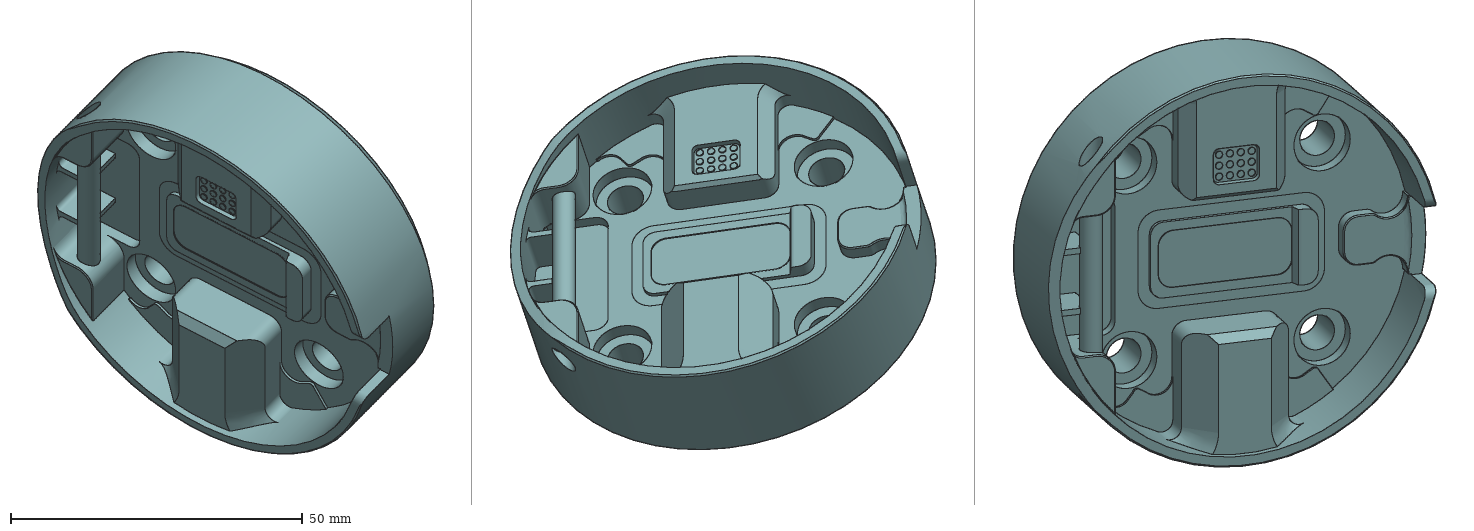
import cadquery as cq
import math

BODY_RADIUS = 35.5
BODY_DEPTH = 22.1
BACK_CHAMFER = 2.0
RIM_CHAMFER = 0.3
BORE_RADIUS = 33.6
FLOOR_Y = 11.1
LEDGE_Y = 10.6

RELIEF_BEND_X = -27.0
RELIEF_ANGLE = math.radians(16)
RELIEF_TANGENT = 2.3

NOTCH_HALF_WIDTH = 7.2
NOTCH_DEPTH = 7.95
NOTCH_ROUND = 2.0

SCREW_OFFSET = 17.7
SCREW_HOLE_DIAMETER = 6.3
COUNTERBORE_DIAMETER = 10.3
COUNTERBORE_DEPTH = 2.5

BLOCK_HALF_WIDTH = 9.8
BLOCK_INNER_Z = 11.7
BLOCK_CORNER_RADIUS = 2.55
BLOCK_FLARE_RADIUS = 2.0
UPPER_BLOCK_Y = 5.5
UPPER_SIDE_BEVEL = 2.5
UPPER_END_BEVEL = 0.7
LOWER_BLOCK_Y = 1.3
LOWER_SIDE_BEVEL = 5.0
LOWER_END_BEVEL = 1.5

LOBE_RADIUS = 2.9
LOBE_Z = 21.6
LOBE_END_ANGLE = math.radians(50)
VALLEY_START = (15.8, 23.1)
VALLEY_MIDDLE = (16.5, 23.0)
VALLEY_END = (17.0, 23.5)
LEDGE_RIGHT_END = (20.2, 28.3)
OUTER_LOBE_CENTER = (-20.1, 23.15)
OUTER_LOBE_RADIUS = 2.7
LEDGE_LEFT_END = (-23.4, 26.3)

EAR_Y = 1.7
EAR_EDGE_X = -23.4
EAR_INNER_Z = 12.65
EAR_CORNER_RADIUS = 3.5
EAR_WALL_FILLET = 2.5
EAR_CHAMFER = 0.2
WELL_EDGE_X = -20.15
WELL_CORNER_RADIUS = 2.5
WELL_Y = 13.05
RIB_Y = 5.0
RIB_INNER_Z = 5.0
RIB_THICKNESS = 1.1
RIB_WALL_FILLET = 1.0
PIN_X = -26.7
PIN_Y = 5.25
PIN_DIAMETER = 4.0
PIN_HOLE_DIAMETER = 4.05
PIN_LENGTH = 40.0

TAB_Y = 8.5
TAB_CHAMFER = 0.2
TAB_START_X = 20.65
TAB_HALF_WIDTH = 4.55
TAB_CORNER_RADIUS = 2.7
TAB_SHOULDER_X = 25.8
TAB_SHOULDER_RADIUS = 1.5
TAB_NECK_HALF_WIDTH = 3.5
TAB_NECK_RADIUS = 3.55
TAB_END_X = 34.1
TAB_ROOT_RADIUS = 32.95
TAB_ROOT_FILLET = 1.3

LATCH_X_MIN = -16.0
LATCH_X_MAX = 18.1
LATCH_HALF_HEIGHT = 8.95
LATCH_CORNER_RADIUS = 3.75
LATCH_BACK_Y = 13.05
PLATE_MARGIN = 2.05
PLATE_CORNER_RADIUS = 2.3
PLATE_Y = 10.4
PANEL_X_MIN = -12.5
PANEL_HALF_HEIGHT = 5.2
PANEL_CORNER_RADIUS = 2.7
PANEL_DEPTH = 0.2
BAR_BASE_X = 11.9
BAR_SHOULDER_X = 12.5
BAR_TOP_X = 13.0
BAR_TOP_Y = 8.5
BAR_SHOULDER_DROP = 0.15

SOCKET_Z = 17.55
SOCKET_WIDTH = 8.45
SOCKET_HEIGHT = 6.5
SOCKET_CORNER_RADIUS = 1.15
CONNECTOR_GAP = 0.2
CONNECTOR_INSET = 0.7
CONTACT_DIAMETER = 1.3
CONTACT_HEIGHT = 0.2
CONTACT_PITCH = 2.0
CONTACT_COLUMNS = 4
CONTACT_ROWS = 3


def plane_at(y):
    """XZ drawing plane at depth y; extruding moves toward the open rim."""
    return cq.Workplane("XZ", origin=(0, y, 0))


def rounded_box(x_min, x_max, z_min, z_max, radius, y_front, y_back):
    """Box between two depths with its four Y edges rounded."""
    middle_x = (x_min + x_max) / 2
    middle_z = (z_min + z_max) / 2
    return (
        plane_at(y_back)
        .center(middle_x, middle_z)
        .rect(x_max - x_min, z_max - z_min)
        .extrude(y_back - y_front)
        .edges("|Y")
        .fillet(radius)
    )


def bore_fill(y_front, y_back):
    """Disc that exactly fills the bore between two depths."""
    return plane_at(y_back).circle(BORE_RADIUS).extrude(y_back - y_front)


def polar(center, radius, angle):
    return (center[0] + radius * math.cos(angle), center[1] + radius * math.sin(angle))


def bore_flare(side, radius, direction):
    """Arc that rounds a radial wall into the bore.

    Points are (across, along): the wall stands at across = side and the arc turns
    toward larger (direction 1) or smaller (direction -1) values of across.
    Returns the arc's start on the wall, its middle and its end on the bore.
    """
    across = side + direction * radius
    along = math.sqrt((BORE_RADIUS - radius) ** 2 - across**2)
    bore_angle = math.atan2(along, across)
    start_angle = math.pi if direction > 0 else 0
    middle = polar((across, along), radius, (start_angle + bore_angle) / 2)
    return (side, along), middle, polar((0, 0), BORE_RADIUS, bore_angle)


def toward_hinge(point):
    """Turn an (across, along) point so that along runs toward -X."""
    return (-point[1], point[0])


def mirror_x(point):
    return (-point[0], point[1])


def make_cup():
    section = [
        (0, FLOOR_Y),
        (BORE_RADIUS, FLOOR_Y),
        (BORE_RADIUS, 0),
        (BODY_RADIUS - RIM_CHAMFER, 0),
        (BODY_RADIUS, RIM_CHAMFER),
        (BODY_RADIUS, BODY_DEPTH - BACK_CHAMFER),
        (BODY_RADIUS - BACK_CHAMFER, BODY_DEPTH),
        (0, BODY_DEPTH),
    ]
    return cq.Workplane("XY").polyline(section).close().revolve(360, (0, 0), (0, 1))


def make_block(top_y, side_bevel, end_bevel):
    """Guide block on the +Z side: beveled on three sides, flared into the bore."""
    side_point, flare_middle, wall_point = bore_flare(BLOCK_HALF_WIDTH, BLOCK_FLARE_RADIUS, 1)
    flare_x = BLOCK_HALF_WIDTH + BLOCK_FLARE_RADIUS
    flare_z = side_point[1]
    inner_corner = (BLOCK_HALF_WIDTH, BLOCK_INNER_Z)

    block = (
        plane_at(FLOOR_Y)
        .moveTo(*mirror_x(inner_corner))
        .lineTo(*inner_corner)
        .lineTo(*side_point)
        .threePointArc(flare_middle, wall_point)
        .threePointArc((0, BORE_RADIUS), mirror_x(wall_point))
        .threePointArc(mirror_x(flare_middle), mirror_x(side_point))
        .close()
        .extrude(FLOOR_Y - top_y)
    )
    block = block.faces("<Z").edges("|Y").fillet(BLOCK_CORNER_RADIUS)

    side_bevel_cut = (
        cq.Workplane("XY", origin=(BLOCK_HALF_WIDTH, top_y, BLOCK_INNER_Z))
        .polyline([(0, 0), (0, side_bevel), (-side_bevel, 0)])
        .close()
        .extrude(flare_z - BLOCK_INNER_Z)
    )
    inner_radius = BLOCK_FLARE_RADIUS
    flare_bevel_cut = (
        cq.Workplane("XY", origin=(flare_x, top_y, flare_z))
        .polyline([(-inner_radius, 0), (-inner_radius, side_bevel), (-inner_radius - side_bevel, 0)])
        .close()
        .revolve(180, (0, 0), (0, 1))
    )
    end_bevel_cut = (
        cq.Workplane("YZ", origin=(-BLOCK_HALF_WIDTH, top_y, BLOCK_INNER_Z))
        .polyline([(0, 0), (end_bevel, 0), (0, end_bevel)])
        .close()
        .extrude(2 * BLOCK_HALF_WIDTH)
    )
    for bevel in (side_bevel_cut, flare_bevel_cut):
        block = block.cut(bevel).cut(bevel.mirror("YZ"))
    return block.cut(end_bevel_cut)


def ledge_prism(border):
    """Ledge between a wavy border and the bore; the border lists (end,) or (middle, end)."""
    outline = plane_at(FLOOR_Y).moveTo(*border[0][0])
    for stretch in border[1:]:
        if len(stretch) == 1:
            outline = outline.lineTo(*stretch[0])
        else:
            outline = outline.threePointArc(*stretch)
    ledge = outline.close().extrude(FLOOR_Y - LEDGE_Y)
    return ledge.intersect(bore_fill(LEDGE_Y, FLOOR_Y))


def make_ledges():
    """Low ledges on both sides of the +Z block, with wavy inner borders."""
    lobe_center = (BLOCK_HALF_WIDTH + LOBE_RADIUS, LOBE_Z)
    lobe_start = polar(lobe_center, LOBE_RADIUS, math.pi)
    lobe_middle = polar(lobe_center, LOBE_RADIUS, (math.pi + LOBE_END_ANGLE) / 2)
    lobe_end = polar(lobe_center, LOBE_RADIUS, LOBE_END_ANGLE)
    bore_corner = (BLOCK_HALF_WIDTH, BODY_RADIUS)

    shared = [
        (bore_corner,),
        (lobe_start,),
        (lobe_middle, lobe_end),
        (VALLEY_START,),
        (VALLEY_MIDDLE, VALLEY_END),
    ]
    right_border = shared + [(LEDGE_RIGHT_END,)]

    outer_lobe = [
        polar(OUTER_LOBE_CENTER, OUTER_LOBE_RADIUS, math.radians(angle)) for angle in (30, 90, 135)
    ]
    left_border = [tuple(mirror_x(point) for point in stretch) for stretch in shared]
    left_border += [(outer_lobe[0],), (outer_lobe[1], outer_lobe[2]), (LEDGE_LEFT_END,)]
    return ledge_prism(right_border).union(ledge_prism(left_border))


def make_ear():
    """Hinge ear on the +Z side, with a fillet where it meets the bore."""
    fillet_start, fillet_middle, wall_point = [
        toward_hinge(point) for point in bore_flare(EAR_INNER_Z, EAR_WALL_FILLET, -1)
    ]
    edge_top = (EAR_EDGE_X, math.sqrt(BORE_RADIUS**2 - EAR_EDGE_X**2))
    wall_middle_angle = (
        math.atan2(wall_point[1], wall_point[0]) + math.atan2(edge_top[1], edge_top[0])
    ) / 2
    corner_center = (EAR_EDGE_X - EAR_CORNER_RADIUS, EAR_INNER_Z + EAR_CORNER_RADIUS)
    corner_middle = polar(corner_center, EAR_CORNER_RADIUS, -math.pi / 4)
    ear = (
        plane_at(FLOOR_Y)
        .moveTo(*wall_point)
        .threePointArc(fillet_middle, fillet_start)
        .lineTo(corner_center[0], EAR_INNER_Z)
        .threePointArc(corner_middle, (EAR_EDGE_X, corner_center[1]))
        .lineTo(*edge_top)
        .threePointArc(polar((0, 0), BORE_RADIUS, wall_middle_angle), wall_point)
        .close()
        .extrude(FLOOR_Y - EAR_Y)
    )
    return ear.faces("<Y").edges().chamfer(EAR_CHAMFER)


def make_hinge_well():
    well = rounded_box(
        -BODY_RADIUS - WELL_CORNER_RADIUS, WELL_EDGE_X, -EAR_INNER_Z, EAR_INNER_Z,
        WELL_CORNER_RADIUS, FLOOR_Y, WELL_Y,
    )
    return well.intersect(bore_fill(FLOOR_Y, WELL_Y))


def make_rib():
    """Rib on the +Z side of the well, reaching from the bore to the pin axis."""
    outer_z = RIB_INNER_Z + RIB_THICKNESS
    inner_flare = [toward_hinge(point) for point in bore_flare(RIB_INNER_Z, RIB_WALL_FILLET, -1)]
    outer_flare = [toward_hinge(point) for point in bore_flare(outer_z, RIB_WALL_FILLET, 1)]
    wall_z = (inner_flare[2][1] + outer_flare[2][1]) / 2
    wall_middle = (-math.sqrt(BORE_RADIUS**2 - wall_z**2), wall_z)
    return (
        plane_at(WELL_Y)
        .moveTo(PIN_X, RIB_INNER_Z)
        .lineTo(*inner_flare[0])
        .threePointArc(inner_flare[1], inner_flare[2])
        .threePointArc(wall_middle, outer_flare[2])
        .threePointArc(outer_flare[1], outer_flare[0])
        .lineTo(PIN_X, outer_z)
        .close()
        .extrude(WELL_Y - RIB_Y)
    )


def tab_prism(y_front, y_back):
    """Prism on the waisted outline of the release tab, which flares out into the bore."""
    shoulder_z = TAB_HALF_WIDTH - TAB_SHOULDER_RADIUS
    neck_z = TAB_NECK_HALF_WIDTH + TAB_NECK_RADIUS
    center_distance = TAB_SHOULDER_RADIUS + TAB_NECK_RADIUS
    neck_x = TAB_SHOULDER_X + math.sqrt(center_distance**2 - (neck_z - shoulder_z) ** 2)
    join_angle = math.atan2(neck_z - shoulder_z, neck_x - TAB_SHOULDER_X)
    shoulder_center = (TAB_SHOULDER_X, shoulder_z)
    shoulder_middle = polar(shoulder_center, TAB_SHOULDER_RADIUS, (join_angle + math.pi / 2) / 2)
    shoulder_end = polar(shoulder_center, TAB_SHOULDER_RADIUS, join_angle)
    neck_middle = (neck_x, TAB_NECK_HALF_WIDTH)
    neck_end = (neck_x + TAB_NECK_RADIUS, neck_z)
    corner_center = (TAB_START_X + TAB_CORNER_RADIUS, TAB_HALF_WIDTH - TAB_CORNER_RADIUS)
    corner_middle = polar(corner_center, TAB_CORNER_RADIUS, math.radians(135))

    half = (
        plane_at(y_back)
        .moveTo(TAB_START_X, 0)
        .lineTo(TAB_START_X, corner_center[1])
        .threePointArc(corner_middle, (corner_center[0], TAB_HALF_WIDTH))
        .lineTo(TAB_SHOULDER_X, TAB_HALF_WIDTH)
        .threePointArc(shoulder_middle, shoulder_end)
        .threePointArc(neck_middle, neck_end)
        .lineTo(TAB_END_X, neck_z)
        .lineTo(TAB_END_X, 0)
        .close()
        .extrude(y_back - y_front)
    )
    return half.union(half.mirror("XY")).clean()


def make_tab():
    """Release tab with a chamfered face and a hollow round up to the notch ledge."""
    tab = tab_prism(TAB_Y, FLOOR_Y).faces("<Y").edges("not >X").chamfer(TAB_CHAMFER)
    fillet_center_y = TAB_Y - TAB_ROOT_FILLET
    ledge_angle = math.asin((NOTCH_DEPTH - fillet_center_y) / TAB_ROOT_FILLET)
    fillet_center = (TAB_ROOT_RADIUS - TAB_ROOT_FILLET * math.cos(ledge_angle), fillet_center_y)
    fillet_middle = polar(fillet_center, TAB_ROOT_FILLET, (ledge_angle + math.pi / 2) / 2)
    hollow = (
        cq.Workplane("XY")
        .moveTo(0, NOTCH_DEPTH)
        .lineTo(0, TAB_Y)
        .lineTo(fillet_center[0], TAB_Y)
        .threePointArc(fillet_middle, (TAB_ROOT_RADIUS, NOTCH_DEPTH))
        .close()
        .revolve(360, (0, 0), (0, 1))
    )
    return tab.union(tab_prism(NOTCH_DEPTH, TAB_Y).cut(hollow))


def make_rim_relief():
    """Cutter for the sloped relief, blended into the flat rim by a tangent arc."""
    blend_radius = RELIEF_TANGENT / math.tan(RELIEF_ANGLE / 2)
    blend_start = (RELIEF_BEND_X + RELIEF_TANGENT, 0)
    blend_center = (blend_start[0], blend_radius)
    blend_middle = polar(blend_center, blend_radius, -math.pi / 2 - RELIEF_ANGLE / 2)
    blend_end = polar(blend_center, blend_radius, -math.pi / 2 - RELIEF_ANGLE)
    outer_x = -BODY_RADIUS - RELIEF_TANGENT
    outer_y = (RELIEF_BEND_X - outer_x) * math.tan(RELIEF_ANGLE)
    return (
        cq.Workplane("XY", origin=(0, 0, -BODY_RADIUS))
        .moveTo(*blend_start)
        .threePointArc(blend_middle, blend_end)
        .lineTo(outer_x, outer_y)
        .lineTo(outer_x, 0)
        .close()
        .extrude(2 * BODY_RADIUS)
    )


def make_notch():
    """Cutter for the finger notch, widening in rounds at the open rim."""
    round_middle = polar(
        (NOTCH_HALF_WIDTH + NOTCH_ROUND, NOTCH_ROUND), NOTCH_ROUND, math.radians(225)
    )
    notch_x = BORE_RADIUS - 2 * (BODY_RADIUS - BORE_RADIUS)
    return (
        cq.Workplane("YZ", origin=(notch_x, 0, 0))
        .moveTo(0, NOTCH_HALF_WIDTH + NOTCH_ROUND)
        .threePointArc((round_middle[1], round_middle[0]), (NOTCH_ROUND, NOTCH_HALF_WIDTH))
        .lineTo(NOTCH_DEPTH, NOTCH_HALF_WIDTH)
        .lineTo(NOTCH_DEPTH, -NOTCH_HALF_WIDTH)
        .lineTo(NOTCH_ROUND, -NOTCH_HALF_WIDTH)
        .threePointArc((round_middle[1], -round_middle[0]), (0, -NOTCH_HALF_WIDTH - NOTCH_ROUND))
        .close()
        .extrude(BODY_RADIUS - notch_x)
    )


def make_screw_holes():
    corners = [(x, z) for x in (-SCREW_OFFSET, SCREW_OFFSET) for z in (-SCREW_OFFSET, SCREW_OFFSET)]
    holes = plane_at(BODY_DEPTH).pushPoints(corners).circle(SCREW_HOLE_DIAMETER / 2).extrude(BODY_DEPTH)
    counterbores = (
        plane_at(FLOOR_Y + COUNTERBORE_DEPTH)
        .pushPoints(corners)
        .circle(COUNTERBORE_DIAMETER / 2)
        .extrude(COUNTERBORE_DEPTH + FLOOR_Y - LEDGE_Y)
    )
    return holes.union(counterbores)


def pin_rod(diameter, length):
    rod = cq.Workplane("XY", origin=(PIN_X, PIN_Y, -length / 2))
    return rod.circle(diameter / 2).extrude(length)


def socket_shape(clearance, y_front, y_back):
    half_width = SOCKET_WIDTH / 2 - clearance
    half_height = SOCKET_HEIGHT / 2 - clearance
    return rounded_box(
        -half_width, half_width, SOCKET_Z - half_height, SOCKET_Z + half_height,
        SOCKET_CORNER_RADIUS - clearance, y_front, y_back,
    )


def latch_base():
    return rounded_box(
        LATCH_X_MIN, LATCH_X_MAX, -LATCH_HALF_HEIGHT, LATCH_HALF_HEIGHT,
        LATCH_CORNER_RADIUS, FLOOR_Y, LATCH_BACK_Y,
    )


def make_housing():
    body = make_cup()
    body = body.union(make_block(UPPER_BLOCK_Y, UPPER_SIDE_BEVEL, UPPER_END_BEVEL))
    body = body.union(make_block(LOWER_BLOCK_Y, LOWER_SIDE_BEVEL, LOWER_END_BEVEL).mirror("XY"))
    body = body.cut(make_hinge_well())
    for feature in (make_ledges(), make_ear(), make_rib()):
        body = body.union(feature).union(feature.mirror("XY"))
    body = body.union(make_tab())
    for cutter in (
        make_rim_relief(),
        make_notch(),
        make_screw_holes(),
        pin_rod(PIN_HOLE_DIAMETER, 2 * BODY_RADIUS),
        latch_base(),
        socket_shape(0, UPPER_BLOCK_Y, FLOOR_Y),
    ):
        body = body.cut(cutter)
    return body


def make_latch():
    plate_x_max = LATCH_X_MAX - PLATE_MARGIN
    plate_half_height = LATCH_HALF_HEIGHT - PLATE_MARGIN
    plate = rounded_box(
        LATCH_X_MIN + PLATE_MARGIN, plate_x_max, -plate_half_height, plate_half_height,
        PLATE_CORNER_RADIUS, BAR_TOP_Y, FLOOR_Y,
    )
    bar_side_cut = (
        cq.Workplane("XY", origin=(0, 0, -LATCH_HALF_HEIGHT))
        .polyline([
            (LATCH_X_MIN, BAR_TOP_Y),
            (LATCH_X_MIN, PLATE_Y),
            (BAR_BASE_X, PLATE_Y),
            (BAR_SHOULDER_X, BAR_TOP_Y + BAR_SHOULDER_DROP),
            (BAR_TOP_X, BAR_TOP_Y),
        ])
        .close()
        .extrude(2 * LATCH_HALF_HEIGHT)
    )
    panel = rounded_box(
        PANEL_X_MIN, BAR_BASE_X, -PANEL_HALF_HEIGHT, PANEL_HALF_HEIGHT,
        PANEL_CORNER_RADIUS, PLATE_Y, PLATE_Y + PANEL_DEPTH,
    )
    return latch_base().union(plate.cut(bar_side_cut)).cut(panel)


def make_connector():
    face_y = UPPER_BLOCK_Y + CONNECTOR_INSET
    contacts = (
        plane_at(face_y)
        .center(0, SOCKET_Z)
        .rarray(CONTACT_PITCH, CONTACT_PITCH, CONTACT_COLUMNS, CONTACT_ROWS)
        .circle(CONTACT_DIAMETER / 2)
        .extrude(CONTACT_HEIGHT)
    )
    return socket_shape(CONNECTOR_GAP, face_y, FLOOR_Y).union(contacts)


housing = make_housing()
hinge_pin = pin_rod(PIN_DIAMETER, PIN_LENGTH)
latch = make_latch()
connector = make_connector()

result = cq.Compound.makeCompound([housing.val(), hinge_pin.val(), latch.val(), connector.val()])